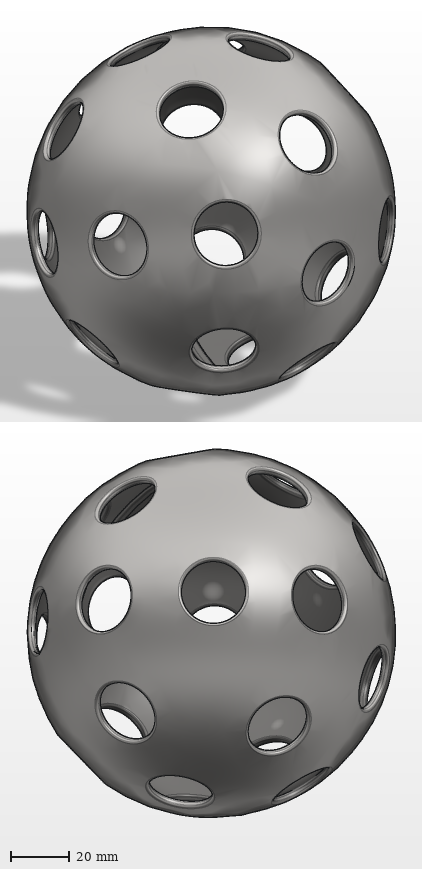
import cadquery as cq
import math

ball_diameter = 127.0
cavity_diameter = 121.5

band_bore = 119.3
band_width = 3.8
band_round = 0.9

hole_diameter = 22.1
rim_radius = 0.9

hole_rings = [(37.0, 4), (73.0, 8)]
front_half_turn = -20.0

ball_radius = ball_diameter / 2
cavity_radius = cavity_diameter / 2


def make_shell():
    """Hollow ball revolved about Y, with the seam band left standing inside."""
    band_radius = band_bore / 2
    band_edge = band_width / 2
    band_flat = band_edge - band_round
    band_outer_radius = math.sqrt(cavity_radius**2 - band_edge**2)
    diagonal = math.sqrt(0.5)
    ball_slant = ball_radius * diagonal
    cavity_slant = cavity_radius * diagonal
    return (
        cq.Workplane("XY")
        .moveTo(0, -ball_radius)
        .threePointArc((ball_slant, -ball_slant), (ball_radius, 0))
        .threePointArc((ball_slant, ball_slant), (0, ball_radius))
        .lineTo(0, cavity_radius)
        .threePointArc((cavity_slant, cavity_slant), (band_outer_radius, band_edge))
        .lineTo(band_radius + band_round, band_edge)
        .radiusArc((band_radius, band_flat), -band_round)
        .lineTo(band_radius, -band_flat)
        .radiusArc((band_radius + band_round, -band_edge), -band_round)
        .lineTo(band_outer_radius, -band_edge)
        .threePointArc((cavity_slant, -cavity_slant), (0, -cavity_radius))
        .close()
        .revolve(360, (0, 0), (0, 1))
    )


def rim_arc(sphere_radius, inward):
    """Center height, middle and sphere-side end of a rim arc in the (radius, height) plane.

    The arc touches the hole wall and a sphere. Inward is 1 when its center is
    nearer the ball center than the sphere is, and -1 when it is farther.
    """
    center_x = hole_diameter / 2 + rim_radius
    center_reach = sphere_radius - inward * rim_radius
    center_z = math.sqrt(center_reach**2 - center_x**2)
    sphere_end = (
        center_x * sphere_radius / center_reach,
        center_z * sphere_radius / center_reach,
    )
    middle_x = sphere_end[0] - center_x - rim_radius
    middle_z = sphere_end[1] - center_z
    middle_scale = rim_radius / math.hypot(middle_x, middle_z)
    arc_middle = (center_x + middle_x * middle_scale, center_z + middle_z * middle_scale)
    return center_z, arc_middle, sphere_end


def make_hole_cutter():
    """Hole along Z with rims rounding into the outer sphere and the cavity."""
    hole_radius = hole_diameter / 2
    outer_z, outer_middle, outer_end = rim_arc(ball_radius, 1)
    inner_z, inner_middle, inner_end = rim_arc(cavity_radius, -1)
    inner_limit = cavity_radius / 2
    outer_limit = ball_radius + rim_radius
    return (
        cq.Workplane("XZ")
        .moveTo(0, inner_limit)
        .lineTo(inner_end[0], inner_limit)
        .lineTo(*inner_end)
        .threePointArc(inner_middle, (hole_radius, inner_z))
        .lineTo(hole_radius, outer_z)
        .threePointArc(outer_middle, outer_end)
        .lineTo(outer_end[0], outer_limit)
        .lineTo(0, outer_limit)
        .close()
        .revolve(360, (0, 0), (0, 1))
    )


def place_hole(cutter, side, tilt, turn):
    """Aim a cutter at tilt degrees from the pole on the given Y side, turned about Y."""
    origin = (0, 0, 0)
    angle_from_z = -side * (90 - tilt)
    return cutter.rotate(origin, (1, 0, 0), angle_from_z).rotate(origin, (0, 1, 0), turn)


hole_cutter = make_hole_cutter()
result = make_shell()
for side, half_turn in [(-1, front_half_turn), (1, 0.0)]:
    result = result.cut(place_hole(hole_cutter, side, 0, 0), clean=False)
    for tilt, count in hole_rings:
        for index in range(count):
            turn = half_turn + index * 360 / count
            result = result.cut(place_hole(hole_cutter, side, tilt, turn), clean=False)